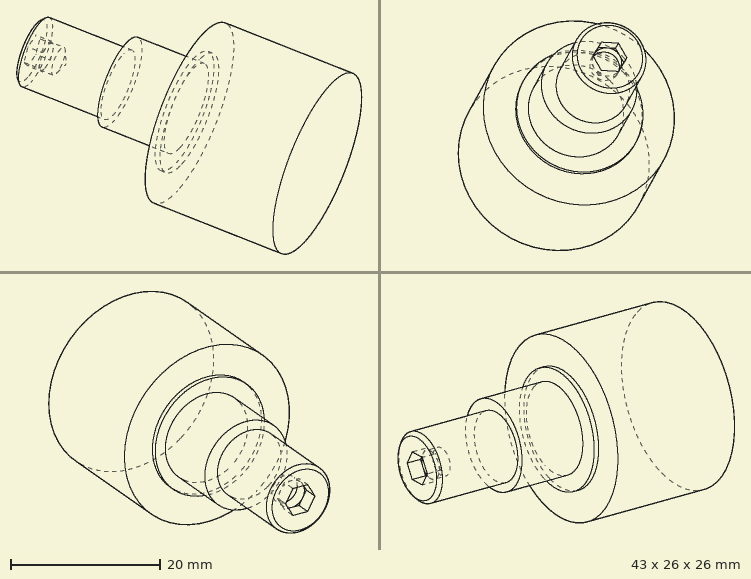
import cadquery as cq
import math

total_length = 43.0

stud_diameter = 10.0
stud_length = 13.0
tip_chamfer = 0.55

collar_diameter = 13.0
collar_length = 10.0
collar_offset = 0.5

shoulder_diameter = 17.2
shoulder_length = 0.75
roller_diameter = 26.0
roller_length = total_length - stud_length - collar_length - shoulder_length

hex_across_flats = 4.0
hex_across_corners = hex_across_flats / math.cos(math.radians(30))
hex_depth = 2.2
drill_depth = 4.0
drill_point_angle = 120.0
drill_point_depth = hex_across_flats / 2 / math.tan(math.radians(drill_point_angle / 2))


def cylinder(start, length, diameter, offset=0.0):
    """Cylinder along +X, starting at X = start and shifted by offset along Y."""
    return (
        cq.Workplane("YZ", origin=(start, offset, 0))
        .circle(diameter / 2)
        .extrude(length)
    )


def key_socket():
    """Hexagon with corners towards +Y and -Y, over a drilled hole that ends in a cone."""
    hexagon = cq.Workplane("YZ").polygon(6, hex_across_corners).extrude(hex_depth)
    drilled_hole = cylinder(hex_depth, drill_depth - hex_depth, hex_across_flats)
    drill_point = cq.Workplane(
        cq.Solid.makeCone(
            hex_across_flats / 2,
            0,
            drill_point_depth,
            pnt=cq.Vector(drill_depth, 0, 0),
            dir=cq.Vector(1, 0, 0),
        )
    )
    return hexagon.union(drilled_hole).union(drill_point)


collar_start = stud_length
shoulder_start = collar_start + collar_length
roller_start = shoulder_start + shoulder_length

stud = cylinder(0, stud_length, stud_diameter).faces("<X").chamfer(tip_chamfer)
collar = cylinder(collar_start, collar_length, collar_diameter, collar_offset)
shoulder = cylinder(shoulder_start, shoulder_length, shoulder_diameter)
roller = cylinder(roller_start, roller_length, roller_diameter)

result = stud.union(collar).union(shoulder).union(roller).cut(key_socket())